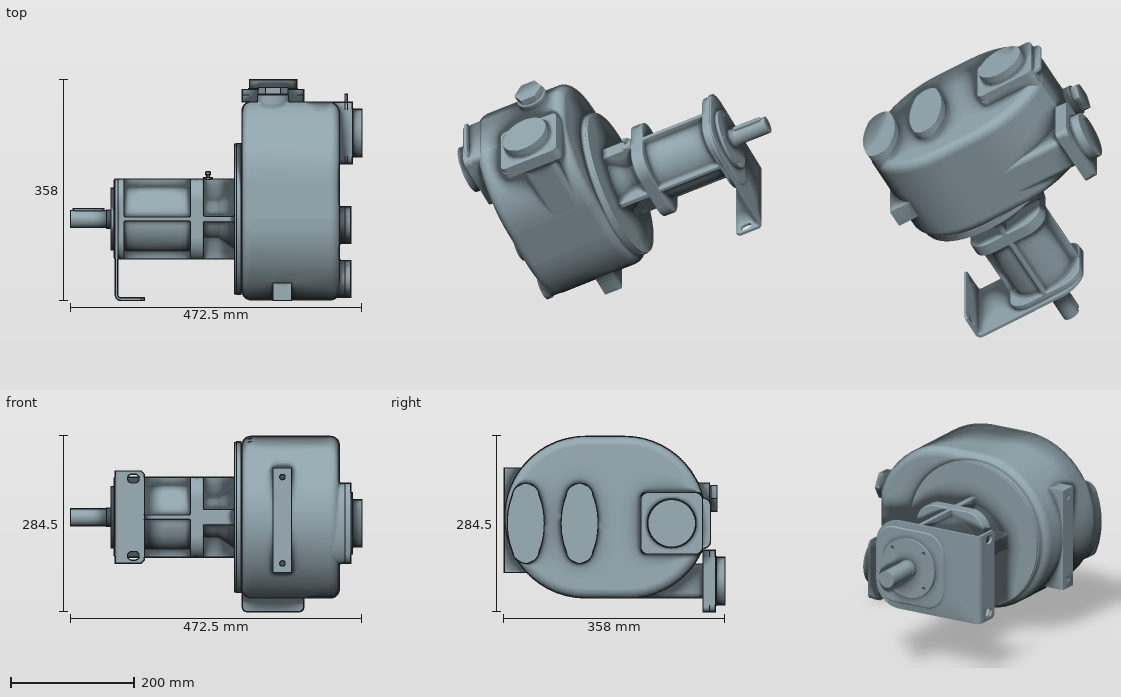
import cadquery as cq
import math


collar_x = 58.6
cap_x = 65.5
flange_x = 71.0
front_pocket_x = 87.0
mid_flange_x = 194.5
mid_flange_end_x = 215.5
backplate_x = 265.5
casing_x = 278.0
casing_end_x = 435.8
pump_end_x = 472.5
tolerance = 1e-3
overlap = 10.0

shaft_radius = 14.0
collar_radius = 15.0
key_start_x = 4.5
key_length = 50.0
key_width = 8.0
key_top = 17.4

housing_half = 65.0
housing_corner = 34.5
housing_rim_fillet = 3.0
barrel_radius = 52.0
barrel_rib_half = 3.5
neck_radius = 33.0
cone_start_x = 240.5
cone_end_radius = 50.0
top_rib_half = 4.5
side_rib_half = 12.4
pocket_fillet = 2.5
pocket_edge_fillet = 2.0
cap_radius = 50.0
cap_hole_offset = 30.0
cap_hole_diameter = 7.0
cap_hole_depth = 10.0

sheet = 4.5
bracket_x = 72.6
bracket_half_height = 75.0
bracket_corner = 43.0
bracket_leg_end_x = 119.7
bracket_bend_radius = 9.0
leg_corner_chamfer = 5.5
slot_x = 102.0
slot_z = 62.5
slot_length = 19.0
slot_width = 14.0
mount_face_y = -132.0

casing_radius = 131.1
casing_fillet = 15.0
upper_arc_y = 63.0
lower_arc_y = 69.0
casing_flat_y = 190.0

backplate_radius = 122.5
backplate_step = 1.2
backplate_step_x = 269.0
backplate_end_x = 276.6
groove_radius = 119.0

ports_x = 328.4
bar_x = 343.5
bar_width = 30.0
bar_height = 170.0
bar_z = -5.0
bar_inner_y = -95.0
bar_hole_spacing = 140.0
bar_hole_diameter = 9.0
bar_hole_depth = 20.0

flange_size = 100.0
inner_corner = 8.0
outer_corner = 10.5
pipe_radius = 38.6
pipe_collar_radius = 39.6
pipe_collar_length = 1.5
suction_y = 139.3
suction_z = -10.0
valve_plate_x = 444.5
valve_plate_end_x = 448.7
suction_face_x = 456.7
plate_corner = 12.0
tab_end_y = 202.5
tab_half_height = 41.0
tab_corner = 13.0
discharge_z = -103.4
discharge_joint_y = 200.6
discharge_face_y = 210.0
discharge_end_y = 226.0
duct_size = 55.2
duct_corner = 8.5
duct_start_y = 60.0

cover_centres_y = (-9.9, -97.1)
cover_z = -10.0
cover_half_width = 30.0
cover_half_height = 65.0
cover_end_radius = 22.0
cover_x = 444.8
cover_end_x = 454.2
cover_root_fillet = 3.0

filler_z = 30.5
filler_radius = 25.0
filler_end_y = 200.6
filler_root_fillet = 3.0
plug_neck_radius = 20.0
plug_start_y = 202.8
plug_end_y = 213.0
plug_across_flats = 42.0

nipple_x = 223.0
nipple_pad_length = 27.0
nipple_pad_width = 14.6
nipple_pad_y = 64.0
nipple_pad_end_y = 67.3
nipple_stem_radius = 2.5
nipple_head_y = 71.0
nipple_head_radius = 3.8
nipple_end_y = 77.0
nipple_head_chamfer = 1.0


def disc_x(radius, x_start, x_end, y=0.0, z=0.0):
    """Cylinder along X."""
    return cq.Workplane("YZ", origin=(x_start, y, z)).circle(radius).extrude(x_end - x_start)


def disc_y(radius, y_start, y_end, x, z):
    """Cylinder along Y."""
    return cq.Workplane("XZ", origin=(x, y_start, z)).circle(radius).extrude(y_start - y_end)


def block(x_start, x_end, y_start, y_end, z_start, z_end):
    """Box between two opposite corners."""
    size = (x_end - x_start, y_end - y_start, z_end - z_start)
    return cq.Workplane("XY", origin=(x_start, y_start, z_start)).box(*size, centered=False)


def square_x(size, corner, x_start, x_end, y, z):
    """Square plate with rounded corners, extruded along X."""
    plate = cq.Workplane("YZ", origin=(x_start, y, z)).rect(size, size).extrude(x_end - x_start)
    return plate.edges("|X").fillet(corner)


def square_y(size, corner, y_start, y_end, x, z):
    """Square plate with rounded corners, extruded along Y."""
    plate = cq.Workplane("XZ", origin=(x, y_start, z)).rect(size, size).extrude(y_start - y_end)
    return plate.edges("|Y").fillet(corner)


def make_shaft():
    shaft = disc_x(shaft_radius, 0, cap_x + overlap)
    shaft = shaft.union(disc_x(collar_radius, collar_x, cap_x + overlap))
    key_centre = (key_start_x + key_length / 2, 0)
    key = cq.Workplane("XZ").center(*key_centre).slot2D(key_length, key_width).extrude(-key_top)
    return shaft.union(key)


def pocket(x_start, x_end, core, rib_half_y, rib_half_z):
    """Corner pocket in the +Y +Z quadrant, around a round core and between two ribs."""
    reach = 2 * housing_half
    void = block(x_start, x_end, rib_half_y, reach, rib_half_z, reach).cut(core)
    corners = [
        edge for edge in void.edges().vals()
        if max(edge.Center().y, edge.Center().z) < reach - pocket_fillet
    ]
    return void.newObject(corners).fillet(pocket_fillet)


def in_all_quadrants(shape):
    shape = shape.union(shape.mirror("XZ"))
    return shape.union(shape.mirror("XY"))


def on_housing_side(edge):
    """True if the edge lies on the rounded-square side surface of the housing."""
    flat_half = housing_half - housing_corner
    for position in (0.0, 0.25, 0.5, 0.75):
        point = edge.positionAt(position)
        side = (max(abs(point.y) - flat_half, 0), max(abs(point.z) - flat_half, 0))
        if abs(math.hypot(*side) - housing_corner) > tolerance:
            return False
    return True


def make_housing():
    housing = square_x(2 * housing_half, housing_corner, flange_x, backplate_x, 0, 0)
    housing = housing.faces("<X").edges().fillet(housing_rim_fillet)

    barrel = disc_x(barrel_radius, flange_x, backplate_x)
    rear_pocket = pocket(front_pocket_x, mid_flange_x, barrel, barrel_rib_half, barrel_rib_half)

    profile = cq.Workplane("XY").moveTo(flange_x, 0).lineTo(flange_x, neck_radius)
    profile = profile.lineTo(cone_start_x, neck_radius).lineTo(backplate_x, cone_end_radius)
    core = profile.lineTo(backplate_x, 0).close().revolve(360, (0, 0, 0), (1, 0, 0))
    neck_pocket = pocket(mid_flange_end_x, backplate_x, core, top_rib_half, side_rib_half)

    housing = housing.cut(in_all_quadrants(rear_pocket)).cut(in_all_quadrants(neck_pocket))
    rims = [
        edge for edge in housing.edges().vals()
        if on_housing_side(edge) and front_pocket_x - tolerance < edge.Center().x < backplate_x - tolerance
    ]
    return housing.newObject(rims).fillet(pocket_edge_fillet)


def make_cap():
    return disc_x(cap_radius, cap_x, flange_x + overlap)


def cut_cap_holes(body):
    spacing = 2 * cap_hole_offset
    centres = cq.Workplane("YZ", origin=(cap_x, 0, 0)).rect(spacing, spacing, forConstruction=True)
    holes = centres.vertices().circle(cap_hole_diameter / 2).extrude(cap_hole_depth)
    return body.cut(holes)


def make_support():
    plate = block(
        bracket_x, bracket_leg_end_x, mount_face_y, housing_half,
        -bracket_half_height, bracket_half_height,
    )
    plate = plate.edges("<X and <Y").fillet(bracket_bend_radius)
    inside = block(
        bracket_x + sheet, bracket_leg_end_x, mount_face_y + sheet, housing_half,
        -bracket_half_height, bracket_half_height,
    )
    inside = inside.edges("<X and <Y").fillet(bracket_bend_radius - sheet)
    plate = plate.cut(inside)
    plate = plate.edges("|X and >Y").fillet(bracket_corner)
    plate = plate.edges("|Y and >X").chamfer(leg_corner_chamfer)
    slots = cq.Workplane("XZ", origin=(slot_x, mount_face_y + sheet, 0))
    slots = slots.pushPoints([(0, slot_z), (0, -slot_z)]).slot2D(slot_length, slot_width).extrude(sheet)
    return plate.cut(slots)


def make_casing():
    def arc_height(centre_y, y):
        return math.sqrt(casing_radius**2 - (y - centre_y) ** 2)

    def flank(centre_y, sign):
        """Middle and end of the arc from the casing top (sign 1) or bottom (sign -1) to its flat side."""
        end_z = arc_height(centre_y, casing_flat_y)
        half_angle = (math.pi / 2 + math.atan2(end_z, casing_flat_y - centre_y)) / 2
        middle = (
            centre_y + casing_radius * math.cos(half_angle),
            sign * casing_radius * math.sin(half_angle),
        )
        return middle, (casing_flat_y, sign * end_z)

    upper_middle, upper_end = flank(upper_arc_y, 1)
    lower_middle, lower_end = flank(lower_arc_y, -1)
    outline = (
        cq.Workplane("YZ", origin=(casing_x, 0, 0))
        .moveTo(0, -casing_radius)
        .threePointArc((-casing_radius, 0), (0, casing_radius))
        .lineTo(upper_arc_y, casing_radius)
        .threePointArc(upper_middle, upper_end)
        .lineTo(*lower_end)
        .threePointArc(lower_middle, (lower_arc_y, -casing_radius))
        .close()
    )
    casing = outline.extrude(casing_end_x - casing_x)
    return casing.faces("<X or >X").edges().fillet(casing_fillet)


def make_backplate():
    plate = disc_x(backplate_radius - backplate_step, backplate_x, backplate_end_x)
    plate = plate.union(disc_x(backplate_radius, backplate_step_x, backplate_end_x))
    return plate.union(disc_x(groove_radius, backplate_end_x, casing_x + overlap))


def make_mounting_bar():
    half_width = bar_width / 2
    half_height = bar_height / 2
    return block(
        bar_x - half_width, bar_x + half_width, mount_face_y, bar_inner_y,
        bar_z - half_height, bar_z + half_height,
    )


def cut_bar_holes(body):
    for side in (-1, 1):
        hole_z = bar_z + side * bar_hole_spacing / 2
        hole = disc_y(bar_hole_diameter / 2, mount_face_y, mount_face_y + bar_hole_depth, bar_x, hole_z)
        body = body.cut(hole)
    return body


def make_suction():
    position = (suction_y, suction_z)
    port = square_x(flange_size, inner_corner, casing_end_x - overlap, valve_plate_x, *position)
    port = port.union(square_x(flange_size, plate_corner, valve_plate_x, valve_plate_end_x, *position))
    port = port.union(square_x(flange_size, outer_corner, valve_plate_end_x, suction_face_x, *position))
    tab = block(
        valve_plate_x, valve_plate_end_x, suction_y, tab_end_y,
        suction_z - tab_half_height, suction_z + tab_half_height,
    )
    port = port.union(tab.edges("|X and >Y").fillet(tab_corner))
    collar_end = suction_face_x + pipe_collar_length
    port = port.union(disc_x(pipe_collar_radius, suction_face_x, collar_end, *position))
    return port.union(disc_x(pipe_radius, suction_face_x, pump_end_x, *position))


def make_discharge():
    position = (ports_x, discharge_z)
    port = square_y(duct_size, duct_corner, duct_start_y, casing_flat_y, *position)
    port = port.union(square_y(flange_size, inner_corner, casing_flat_y, discharge_joint_y, *position))
    port = port.union(square_y(flange_size, outer_corner, discharge_joint_y, discharge_face_y, *position))
    collar_end = discharge_face_y + pipe_collar_length
    port = port.union(disc_y(pipe_collar_radius, discharge_face_y, collar_end, *position))
    return port.union(disc_y(pipe_radius, discharge_face_y, discharge_end_y, *position))


def cover_outline(workplane):
    """Barrel-shaped outline: two shallow side arcs tangent to two end arcs."""
    end_centre = cover_half_height - cover_end_radius
    side_radius = (end_centre**2 + cover_half_width**2 - cover_end_radius**2) / (
        2 * (cover_half_width - cover_end_radius)
    )
    tangent_angle = math.asin(end_centre / (side_radius - cover_end_radius))
    join_y = cover_end_radius * math.cos(tangent_angle)
    join_z = end_centre + cover_end_radius * math.sin(tangent_angle)
    return (
        workplane.moveTo(join_y, -join_z)
        .threePointArc((cover_half_width, 0), (join_y, join_z))
        .threePointArc((0, cover_half_height), (-join_y, join_z))
        .threePointArc((-cover_half_width, 0), (-join_y, -join_z))
        .threePointArc((0, -cover_half_height), (join_y, -join_z))
        .close()
    )


def edges_on_side(body, squared_radius):
    """Curved edges of a body on the side surface where squared_radius(point) equals one."""
    samples = (0.0, 0.2, 0.4, 0.6, 0.8)
    return [
        edge for edge in body.edges().vals()
        if edge.geomType() != "LINE"
        and all(abs(squared_radius(edge.positionAt(sample)) - 1) < tolerance for sample in samples)
    ]


def add_cover(body, centre_y):
    """Elliptical neck with a filleted root, closed by a barrel-shaped cover."""
    def squared_radius(point):
        across = (point.y - centre_y) / cover_half_width
        upward = (point.z - cover_z) / cover_half_height
        return across**2 + upward**2

    base_x = casing_end_x - casing_fillet
    neck = cq.Workplane("YZ", origin=(base_x, centre_y, cover_z))
    neck = neck.ellipse(cover_half_width, cover_half_height).extrude(cover_x - base_x)
    body = body.union(neck)
    root = [
        edge for edge in edges_on_side(body, squared_radius)
        if edge.Center().x < casing_end_x + tolerance
    ]
    body = body.newObject(root).fillet(cover_root_fillet)

    cover = cover_outline(cq.Workplane("YZ", origin=(cover_x, centre_y, cover_z)))
    return body.union(cover.extrude(cover_end_x - cover_x))


def add_covers(body):
    for centre_y in cover_centres_y:
        body = add_cover(body, centre_y)
    return body


def add_filler(body):
    """Filler boss with a filleted root, closed by a hexagonal plug on a round neck."""
    def squared_radius(point):
        return ((point.x - ports_x) ** 2 + (point.z - filler_z) ** 2) / filler_radius**2

    boss_start_y = casing_flat_y - 2 * overlap
    body = body.union(disc_y(filler_radius, boss_start_y, filler_end_y, ports_x, filler_z))
    root = [
        edge for edge in edges_on_side(body, squared_radius)
        if boss_start_y < edge.Center().y < casing_flat_y + tolerance
    ]
    body = body.newObject(root).fillet(filler_root_fillet)

    body = body.union(disc_y(plug_neck_radius, filler_end_y, plug_start_y, ports_x, filler_z))
    plug = cq.Workplane("XZ", origin=(ports_x, plug_start_y, filler_z))
    across_corners = plug_across_flats / math.cos(math.pi / 6)
    return body.union(plug.polygon(6, across_corners).extrude(plug_start_y - plug_end_y))


def make_nipple():
    pad = cq.Workplane("XZ", origin=(nipple_x, nipple_pad_y, 0))
    pad = pad.slot2D(nipple_pad_length, nipple_pad_width, 90).extrude(nipple_pad_y - nipple_pad_end_y)
    stem = disc_y(nipple_stem_radius, housing_half, nipple_end_y, nipple_x, 0)
    head = disc_y(nipple_head_radius, nipple_head_y, nipple_end_y, nipple_x, 0)
    head = head.edges().chamfer(nipple_head_chamfer)
    return pad.union(stem).union(head)


result = make_casing()
result = add_covers(result)
result = add_filler(result)
for feature in (
    make_backplate(), make_mounting_bar(), make_suction(), make_discharge(),
    make_housing(), make_support(), make_cap(), make_shaft(), make_nipple(),
):
    result = result.union(feature)
result = cut_cap_holes(result)
result = cut_bar_holes(result)